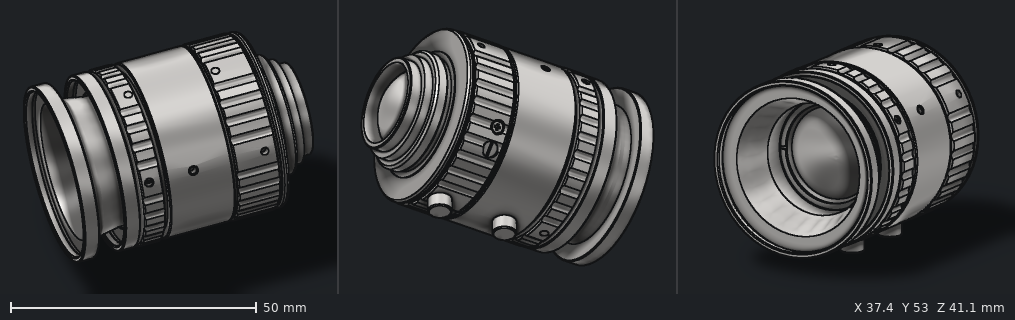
import cadquery as cq
import math


TOTAL_LENGTH = 52.95

FLANGE_RADIUS = 18.6
FLANGE_WIDTH = 3.3
FLANGE_EDGE = 0.2
LIP_RADIUS = 17.75
RECESS_RADIUS = 17.45
LIP_CHAMFER = LIP_RADIUS - RECESS_RADIUS
RELIEF_START = 1.6
RECESS_DEPTH = 2.3
MOUTH_RADIUS = 14.45
CONE_TOP_RADIUS = 14.95
CONE_SLOPE = 0.19

BAND_START = 4.65
BAND_END = 5.5
BAND_RADIUS = CONE_TOP_RADIUS - (BAND_START - FLANGE_WIDTH) * CONE_SLOPE
PLUG_RADIUS = 13.75
PLUG_START = BAND_END + (BAND_RADIUS - PLUG_RADIUS) / CONE_SLOPE
PLUG_END = 19.05
CELL_BORE_RADIUS = 11.75
CELL_BORE_START = 10.2
RETAINER_FACE = 15.2
RETAINER_EDGE = 0.15
RETAINER_INNER_DIAMETER = 20.8
RETAINER_INNER_RADIUS = RETAINER_INNER_DIAMETER / 2
RETAINER_LIP = 0.65
GLASS_RADIUS = 9.7
GLASS_EDGE = 16.55
GLASS_RISE = 3.45
SPANNER_SLOT_WIDTH = 0.65
SPANNER_SLOT_DEPTH = 0.55

BARREL_START = 8.85
RIM_RADIUS = 14.2
RIM_HEIGHT = 0.15
RIM_FLARE = 0.3
FLANGE_BACK = BARREL_START + FLANGE_WIDTH
BARREL_RADIUS = 18.6
BARREL_EDGE = 0.25

FOCUS_START, FOCUS_END = 13.0, 17.6
GROOVE_RADIUS = 16.9
SLEEVE_START, SLEEVE_END = 18.65, 32.7
IRIS_START, IRIS_END = 33.35, 42.5
IRIS_GROOVE_RADIUS = 17.75
KNURL_RADIUS = 18.7
KNURL_SHOULDER_RADIUS = 18.2
KNURL_EDGE = 0.25

COLLAR_START, COLLAR_END = 43.05, 44.5
COLLAR_EDGE_RADIUS = 18.2
COLLAR_FRONT_BEVEL = 0.35
COLLAR_BACK_BEVEL = 0.55
PLATE_RADIUS = 13.5
PLATE_END = 44.7
NECK_RADIUS = 12.25
MOUNT_START, MOUNT_END = 45.65, 48.4
MOUNT_RADIUS = 12.65
MOUNT_FRONT_BEVEL = 0.3
MOUNT_BACK_BEVEL = 0.55
THREAD_RADIUS = 11.05
THREAD_END = 50.3
REAR_RADIUS = 9.75
REAR_EDGE = 0.2
REAR_RIM = 52.85
REAR_BORE_RADIUS = 8.65
REAR_GLASS_EDGE = 48.7

SCALLOP_DIAMETER = 2.5
SCALLOP_RADIUS = SCALLOP_DIAMETER / 2
SCALLOP_WIDTH = 1.85
SCALLOP_PITCH = 12
LAND_ANGLES = (30, 90, 150, 270)

HOLE_ANGLES = (30, 150)
IRIS_SCREW_Y = 39.9
SLEEVE_SCREW_Y = 24.45
FOCUS_SCREW_Y = 14.9
IRIS_HOLE_DIAMETER = 1.6
SLEEVE_HOLE_DIAMETER = 1.5
SLEEVE_SINK_DIAMETER = 2.0
FOCUS_HOLE_DIAMETER = 1.8
HOLE_DEPTH = 2.1
SET_SCREW_DEPTH = 0.4
SET_SCREW_SLOT = 0.4
THUMB_ANGLE = 270
THUMB_STEM_DIAMETER = 1.7
THUMB_HEAD_DIAMETER = 5.0
THUMB_HEAD_START = 19.3
THUMB_HEAD_END = 22.35
THUMB_HEAD_EDGE = 0.25
MARKER_ANGLE = 90
MARKER_DIAMETER = 1.7
MARKER_YS = (16.1, 35.0)
PROUD_RADIUS = 18.75
LOCK_SCREW_Y = 35.85
CROSS_SCREW_ANGLE = 210
CROSS_POCKET_DIAMETER = 3.0
CROSS_HEAD_DIAMETER = 2.5
CROSS_POCKET_FLOOR = 17.75
CROSS_HEAD_FACE = 18.3
SLOT_SCREW_ANGLE = 225
SLOT_SCREW_DIAMETER = 3.4
SLOT_SCREW_FACE = 18.1
LOCK_SLOT_WIDTH = 0.35
LOCK_SLOT_DEPTH = 0.3
OUTSIDE = 21.2


def turn(profile):
    """Revolve a closed (radius, y) profile about the lens axis."""
    return profile.close().revolve(360, (0, 0, 0), (0, 1, 0))


def at_angle(shape, angle):
    """Turn a shape built along +X to its place around the lens axis."""
    return shape.rotate((0, 0, 0), (0, 1, 0), -angle)


def radial_rod(diameter, y, inner, outer, angle):
    rod = cq.Workplane("YZ", origin=(inner, y, 0)).circle(diameter / 2).extrude(outer - inner)
    return at_angle(rod, angle)


def radial_block(y, inner, outer, size_y, size_around, angle):
    block = cq.Workplane("XY").box(outer - inner, size_y, size_around)
    return at_angle(block.translate(((inner + outer) / 2, y, 0)), angle)


def dome_midpoint(edge_radius, edge_y, apex_y):
    """Point halfway along the arc from the apex of a spherical dome to its edge."""
    rise = apex_y - edge_y
    half_angle = 2 * math.atan2(abs(rise), edge_radius)
    sphere_radius = edge_radius / math.sin(half_angle)
    drop = sphere_radius * (1 - math.cos(half_angle / 2))
    return (sphere_radius * math.sin(half_angle / 2), apex_y - math.copysign(drop, rise))


def flange_mouth(start):
    """Points from the inner edge of the recess floor out over the flange to the root of the cone."""
    back = start + FLANGE_WIDTH
    floor = start + RECESS_DEPTH
    return [
        (MOUTH_RADIUS, floor),
        (LIP_RADIUS, floor),
        (LIP_RADIUS, start + RELIEF_START),
        (RECESS_RADIUS, start + RELIEF_START),
        (RECESS_RADIUS, start + LIP_CHAMFER),
        (LIP_RADIUS, start),
        (FLANGE_RADIUS - FLANGE_EDGE, start),
        (FLANGE_RADIUS, start + FLANGE_EDGE),
        (FLANGE_RADIUS, back - FLANGE_EDGE),
        (FLANGE_RADIUS - FLANGE_EDGE, back),
        (CONE_TOP_RADIUS, back),
    ]


def make_front_cell():
    apex = GLASS_EDGE - GLASS_RISE
    outline = flange_mouth(0) + [
        (BAND_RADIUS, BAND_START),
        (BAND_RADIUS, BAND_END),
        (PLUG_RADIUS, PLUG_START),
        (PLUG_RADIUS, PLUG_END),
        (0, PLUG_END),
        (0, apex),
    ]
    middle = dome_midpoint(GLASS_RADIUS, GLASS_EDGE, apex)
    cell = turn(
        cq.Workplane("XY").polyline(outline)
        .threePointArc(middle, (GLASS_RADIUS, GLASS_EDGE))
        .lineTo(RETAINER_INNER_RADIUS, RETAINER_FACE + RETAINER_LIP)
        .lineTo(RETAINER_INNER_RADIUS, RETAINER_FACE)
        .lineTo(CELL_BORE_RADIUS - RETAINER_EDGE, RETAINER_FACE)
        .lineTo(CELL_BORE_RADIUS, RETAINER_FACE - RETAINER_EDGE)
        .lineTo(CELL_BORE_RADIUS, CELL_BORE_START)
    )
    slot_floor = RETAINER_FACE + SPANNER_SLOT_DEPTH
    slot_start = RETAINER_FACE - RETAINER_EDGE
    for angle in (0, 180):
        cell = cell.cut(radial_block(
            (slot_start + slot_floor) / 2, RETAINER_INNER_RADIUS - RETAINER_EDGE, CELL_BORE_RADIUS,
            slot_floor - slot_start, SPANNER_SLOT_WIDTH, angle,
        ))
    return cell


def knurl_outline(start, end):
    return [
        (KNURL_SHOULDER_RADIUS, start),
        (KNURL_RADIUS, start + KNURL_EDGE),
        (KNURL_RADIUS, end - KNURL_EDGE),
        (KNURL_SHOULDER_RADIUS, end),
    ]


def barrel_blank():
    """Turned barrel with the pocket for the front cell and the glass at the rear."""
    neck_front_radius = CONE_TOP_RADIUS - (FOCUS_START - FLANGE_BACK) * CONE_SLOPE
    rim_top = BARREL_START + RECESS_DEPTH - RIM_HEIGHT
    outline = [
        (0, PLUG_END),
        (PLUG_RADIUS, PLUG_END),
        (PLUG_RADIUS, rim_top + RIM_FLARE),
        (RIM_RADIUS, rim_top),
    ]
    outline += flange_mouth(BARREL_START)
    outline += [(neck_front_radius, FOCUS_START)]
    outline += knurl_outline(FOCUS_START, FOCUS_END)
    outline += [
        (GROOVE_RADIUS, FOCUS_END),
        (GROOVE_RADIUS, SLEEVE_START),
        (BARREL_RADIUS - BARREL_EDGE, SLEEVE_START),
        (BARREL_RADIUS, SLEEVE_START + BARREL_EDGE),
        (BARREL_RADIUS, SLEEVE_END - BARREL_EDGE),
        (BARREL_RADIUS - BARREL_EDGE, SLEEVE_END),
        (IRIS_GROOVE_RADIUS, SLEEVE_END),
        (IRIS_GROOVE_RADIUS, IRIS_START),
    ]
    outline += knurl_outline(IRIS_START, IRIS_END)
    outline += [
        (IRIS_GROOVE_RADIUS, IRIS_END),
        (IRIS_GROOVE_RADIUS, COLLAR_START),
        (COLLAR_EDGE_RADIUS, COLLAR_START),
        (BARREL_RADIUS, COLLAR_START + COLLAR_FRONT_BEVEL),
        (BARREL_RADIUS, COLLAR_END - COLLAR_BACK_BEVEL),
        (COLLAR_EDGE_RADIUS, COLLAR_END),
        (PLATE_RADIUS, COLLAR_END),
        (PLATE_RADIUS, PLATE_END),
        (NECK_RADIUS, PLATE_END),
        (NECK_RADIUS, MOUNT_START),
        (MOUNT_RADIUS - MOUNT_FRONT_BEVEL, MOUNT_START),
        (MOUNT_RADIUS, MOUNT_START + MOUNT_FRONT_BEVEL),
        (MOUNT_RADIUS, MOUNT_END - MOUNT_BACK_BEVEL),
        (MOUNT_RADIUS - MOUNT_BACK_BEVEL, MOUNT_END),
        (THREAD_RADIUS, MOUNT_END),
        (THREAD_RADIUS, THREAD_END),
        (REAR_RADIUS, THREAD_END),
        (REAR_RADIUS, REAR_RIM - REAR_EDGE),
        (REAR_RADIUS - REAR_EDGE, REAR_RIM),
        (REAR_BORE_RADIUS, REAR_RIM),
        (REAR_BORE_RADIUS, REAR_GLASS_EDGE),
    ]
    middle = dome_midpoint(REAR_BORE_RADIUS, REAR_GLASS_EDGE, TOTAL_LENGTH)
    return turn(
        cq.Workplane("XY").polyline(outline).threePointArc(middle, (0, TOTAL_LENGTH))
    )


def cut_scallops(barrel):
    """Cut grip scallops along both knurled rings, leaving the plain lands."""
    half_width = SCALLOP_WIDTH / 2
    centre_radius = (
        math.sqrt(KNURL_RADIUS ** 2 - half_width ** 2)
        + math.sqrt(SCALLOP_RADIUS ** 2 - half_width ** 2)
    )
    for start, end in ((FOCUS_START, FOCUS_END), (IRIS_START, IRIS_END)):
        rod = (
            cq.Workplane("XZ", origin=(centre_radius, start, 0))
            .circle(SCALLOP_RADIUS).extrude(start - end)
        )
        cutters = []
        for step in range(360 // SCALLOP_PITCH):
            angle = (step + 0.5) * SCALLOP_PITCH
            if angle not in LAND_ANGLES:
                cutters.append(at_angle(rod, angle).val())
        barrel = barrel.cut(cq.Workplane(cq.Compound.makeCompound(cutters)))
    return barrel


def cut_screw_holes(barrel):
    sink = (SLEEVE_SINK_DIAMETER - SLEEVE_HOLE_DIAMETER) / 2
    for angle in HOLE_ANGLES:
        barrel = barrel.cut(radial_rod(
            IRIS_HOLE_DIAMETER, IRIS_SCREW_Y, KNURL_RADIUS - HOLE_DEPTH, OUTSIDE, angle))
        barrel = barrel.cut(radial_rod(
            SLEEVE_HOLE_DIAMETER, SLEEVE_SCREW_Y, BARREL_RADIUS - HOLE_DEPTH, OUTSIDE, angle))
        cone = cq.Solid.makeCone(
            SLEEVE_HOLE_DIAMETER / 2, SLEEVE_SINK_DIAMETER / 2, sink,
            cq.Vector(BARREL_RADIUS - sink, SLEEVE_SCREW_Y, 0), cq.Vector(1, 0, 0))
        barrel = barrel.cut(at_angle(cq.Workplane(cone), angle))
        face = KNURL_RADIUS - SET_SCREW_DEPTH
        barrel = barrel.cut(radial_rod(FOCUS_HOLE_DIAMETER, FOCUS_SCREW_Y, face, OUTSIDE, angle))
        barrel = barrel.cut(radial_block(
            FOCUS_SCREW_Y, face - SET_SCREW_DEPTH, face,
            FOCUS_HOLE_DIAMETER, SET_SCREW_SLOT, angle))
    return barrel


def add_thumb_screws(barrel):
    for y in (SLEEVE_SCREW_Y, IRIS_SCREW_Y):
        stem = radial_rod(
            THUMB_STEM_DIAMETER, y, BARREL_RADIUS - HOLE_DEPTH, THUMB_HEAD_START, THUMB_ANGLE)
        head = radial_rod(THUMB_HEAD_DIAMETER, y, THUMB_HEAD_START, THUMB_HEAD_END, THUMB_ANGLE)
        head = head.faces("<Z").chamfer(THUMB_HEAD_EDGE)
        barrel = barrel.union(stem).union(head)
    return barrel


def add_markers(barrel):
    """Index dots on top and one set screw underneath, all slightly proud of the knurls."""
    inner = KNURL_RADIUS - HOLE_DEPTH / 2
    for y in MARKER_YS:
        barrel = barrel.union(radial_rod(MARKER_DIAMETER, y, inner, PROUD_RADIUS, MARKER_ANGLE))
    return barrel.union(
        radial_rod(FOCUS_HOLE_DIAMETER, FOCUS_SCREW_Y, inner, PROUD_RADIUS, THUMB_ANGLE))


def cut_lock_screws(barrel):
    """A cross-head and a slotted lock screw sunk in the wide ring."""
    y = LOCK_SCREW_Y
    angle = CROSS_SCREW_ANGLE
    slot_floor = CROSS_HEAD_FACE - LOCK_SLOT_DEPTH
    pocket = radial_rod(CROSS_POCKET_DIAMETER, y, CROSS_POCKET_FLOOR, OUTSIDE, angle)
    head = radial_rod(CROSS_HEAD_DIAMETER, y, CROSS_POCKET_FLOOR, CROSS_HEAD_FACE, angle)
    arm = CROSS_HEAD_DIAMETER / 2
    for length, width in ((arm, LOCK_SLOT_WIDTH), (LOCK_SLOT_WIDTH, arm)):
        head = head.cut(radial_block(y, slot_floor, CROSS_HEAD_FACE, length, width, angle))
    barrel = barrel.cut(pocket.cut(head))

    angle = SLOT_SCREW_ANGLE
    barrel = barrel.cut(radial_rod(SLOT_SCREW_DIAMETER, y, SLOT_SCREW_FACE, OUTSIDE, angle))
    return barrel.cut(radial_block(
        y, SLOT_SCREW_FACE - LOCK_SLOT_DEPTH, SLOT_SCREW_FACE,
        LOCK_SLOT_WIDTH, SLOT_SCREW_DIAMETER, angle))


def make_barrel():
    barrel = cut_scallops(barrel_blank())
    barrel = cut_screw_holes(barrel)
    barrel = add_thumb_screws(barrel)
    barrel = add_markers(barrel)
    return cut_lock_screws(barrel)


front_cell = make_front_cell()
barrel = make_barrel()

result = cq.Compound.makeCompound([front_cell.val(), barrel.val()])